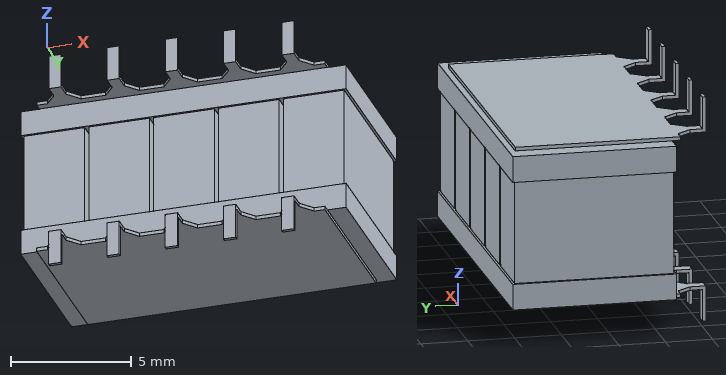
import cadquery as cq

block_length = 14.22
block_depth = 7.0
block_height = 1.12
stack_height = 6.67

chip_count = 5
chip_gap = 0.18
chip_end_inset = 0.11
chip_side_inset = 0.1
chip_height = stack_height - 2 * block_height
chip_depth = block_depth - 2 * chip_side_inset
chip_row_length = block_length - 2 * chip_end_inset
chip_width = (chip_row_length - (chip_count - 1) * chip_gap) / chip_count
chip_pitch = chip_width + chip_gap

plate_thickness = 0.15
plate_end_inset = 0.81
plate_back_inset = 0.28
plate_overhang = 0.35
lead_count = 5
lead_pitch = 2.55
lead_width = 0.54
lead_root_width = 1.48
lead_taper_length = 0.6
overall_depth = 8.65
overall_height = 9.74
lead_post_height = (overall_height - stack_height) / 2

block_back_y = block_depth / 2
plate_back_y = block_back_y - plate_back_inset
plate_front_y = -block_depth / 2 - plate_overhang
lead_tip_y = block_back_y - overall_depth
lead_neck_y = plate_front_y - lead_taper_length
plate_half_length = block_length / 2 - plate_end_inset
stack_top_z = stack_height / 2


def centred_places(count, pitch):
    """X positions of evenly spaced items, centred on X = 0."""
    return [(index - (count - 1) / 2) * pitch for index in range(count)]


def make_chip(center_x):
    """One plain ceramic chip reaching from block to block."""
    return cq.Workplane("XY").box(chip_width, chip_depth, chip_height).translate((center_x, 0, 0))


def make_lead_plate():
    """Flat plate on the top block, with a tapered tongue for every lead along its front edge."""
    outline = [(plate_half_length, plate_back_y), (-plate_half_length, plate_back_y),
               (-plate_half_length, plate_front_y)]
    for lead_x in centred_places(lead_count, lead_pitch):
        outline += [
            (lead_x - lead_root_width / 2, plate_front_y),
            (lead_x - lead_width / 2, lead_neck_y),
            (lead_x - lead_width / 2, lead_tip_y),
            (lead_x + lead_width / 2, lead_tip_y),
            (lead_x + lead_width / 2, lead_neck_y),
            (lead_x + lead_root_width / 2, plate_front_y),
        ]
    outline.append((plate_half_length, plate_front_y))
    return cq.Workplane("XY").workplane(offset=stack_top_z).polyline(outline).close().extrude(plate_thickness)


def make_lead_posts():
    """Posts bent square to the plate at the tip of every tongue."""
    post_y = lead_tip_y + plate_thickness / 2
    return (
        cq.Workplane("XY")
        .workplane(offset=stack_top_z)
        .pushPoints([(lead_x, post_y) for lead_x in centred_places(lead_count, lead_pitch)])
        .rect(lead_width, plate_thickness)
        .extrude(lead_post_height)
    )


def make_top_terminal():
    """Termination block and its lead frame as one solid."""
    block = (
        cq.Workplane("XY")
        .workplane(offset=stack_top_z - block_height)
        .rect(block_length, block_depth)
        .extrude(block_height)
    )
    return block.union(make_lead_plate()).union(make_lead_posts())


chips = [make_chip(chip_x) for chip_x in centred_places(chip_count, chip_pitch)]
top_terminal = make_top_terminal()
bottom_terminal = top_terminal.mirror("XY")

result = cq.Compound.makeCompound(
    [*[chip.val() for chip in chips], top_terminal.val(), bottom_terminal.val()]
)